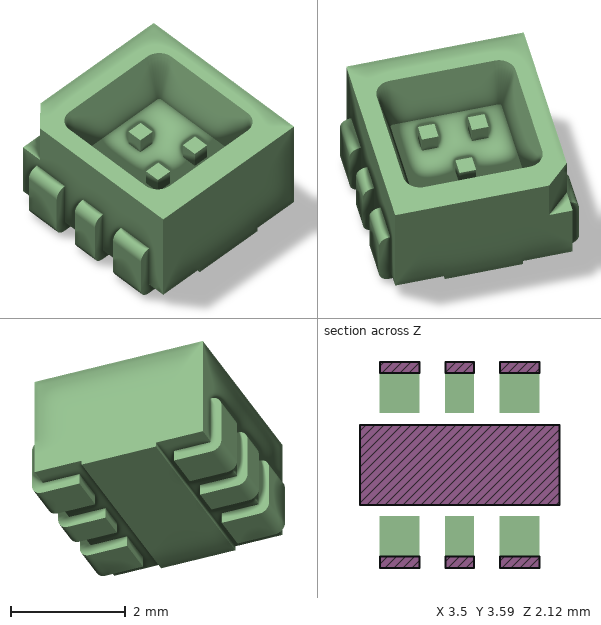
import cadquery as cq
import math

body_length = 3.5
body_width = 3.195
total_height = 2.12
lead_thickness = 0.2
underside_gap = 0.01
body_bottom = lead_thickness + underside_gap
body_height = total_height - body_bottom

pad_width = 1.41
pad_height = 0.083

cavity_side = 2.5
cavity_floor_side = 2.0
cavity_depth = 0.9
cavity_corner_radius = 0.3

marker_leg = 0.425
marker_depth = 0.8

chip_side = 0.3
chip_height = 0.3
chip_offset = 0.45

outer_lead_width = 0.7
middle_lead_width = 0.5
lead_pitch = 1.05
lead_top = 1.125
foot_length = 0.9
lead_bend_radius = 0.187


def make_housing():
    """Rectangular housing with the low pad on its underside."""
    block = cq.Workplane("XY").workplane(offset=body_bottom).rect(body_length, body_width).extrude(body_height)
    pad = cq.Workplane("XY").workplane(offset=body_bottom).rect(body_length, pad_width).extrude(-pad_height)
    return block.union(pad)


def make_cavity():
    """Rounded square pocket that narrows evenly from the rim to the floor."""
    wall_inset = (cavity_side - cavity_floor_side) / 2
    wall_angle = math.degrees(math.atan2(wall_inset, cavity_depth))
    rim = cq.Sketch().rect(cavity_side, cavity_side).vertices().fillet(cavity_corner_radius)
    return (
        cq.Workplane("XY")
        .workplane(offset=total_height)
        .placeSketch(rim)
        .extrude(-cavity_depth, taper=wall_angle)
    )


def make_marker():
    """Triangular prism that cuts the upper corner at -X, -Y."""
    corner_x = -body_length / 2
    corner_y = -body_width / 2
    return (
        cq.Workplane("XY")
        .workplane(offset=total_height)
        .moveTo(corner_x, corner_y)
        .lineTo(corner_x + marker_leg, corner_y)
        .lineTo(corner_x, corner_y + marker_leg)
        .close()
        .extrude(-marker_depth)
    )


def make_chips():
    """Three square chips standing on the cavity floor."""
    positions = [(-chip_offset, 0), (chip_offset, chip_offset), (chip_offset, -chip_offset)]
    return (
        cq.Workplane("XY")
        .workplane(offset=total_height - cavity_depth)
        .pushPoints(positions)
        .rect(chip_side, chip_side)
        .extrude(chip_height)
    )


def make_lead(center_x, width):
    """Lead on the -Y side: a wall against the housing and a foot folded beneath it."""
    wall_y = -body_width / 2
    outer_y = wall_y - lead_thickness
    return (
        cq.Workplane("YZ")
        .workplane(offset=center_x - width / 2)
        .moveTo(outer_y, 0)
        .lineTo(outer_y + foot_length, 0)
        .lineTo(outer_y + foot_length, lead_thickness)
        .lineTo(wall_y, lead_thickness)
        .lineTo(wall_y, lead_top)
        .lineTo(outer_y, lead_top)
        .close()
        .extrude(width)
        .faces("<Y")
        .edges("|X")
        .fillet(lead_bend_radius)
    )


result = make_housing().cut(make_cavity()).cut(make_marker()).union(make_chips())

lead_row = [(-lead_pitch, outer_lead_width), (0, middle_lead_width), (lead_pitch, outer_lead_width)]
for center_x, width in lead_row:
    lead = make_lead(center_x, width)
    result = result.union(lead).union(lead.mirror("XZ"))